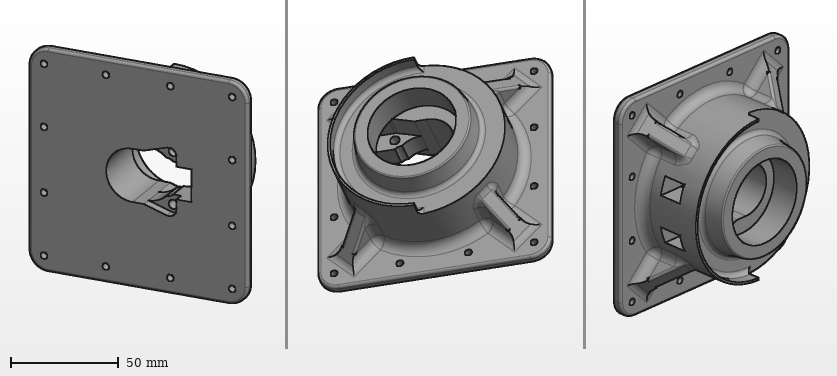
import cadquery as cq
import math

plate_side = 112
plate_thickness = 5.0
plate_corner_radius = 10.0
plate_edge_round = 1.5
plate_hole_diameter = 3.4
plate_hole_outer = 48.0
plate_hole_inner = 16.5

body_radius = 41.5
body_top = 32.0
skirt_top = 40.0
skirt_thickness = 1.2
floor_fillet = 2.5
blend_fillet = 5.0

collar_top = 43.8
collar_base_radius = 29.9
collar_top_radius = 28
collar_edge_round = 0.8
bore_radius = 21.3

rib_width = 8.4
rib_height_on_body = 25.2
rib_edge_round = 1.2
rib_split_height = 14.6

passage_radius = 13.3
passage_offset = 2.9
slot_half_width = 8.2
slot_end = 27.2
ear_depth = plate_thickness
ear_radius = 3.9
screw_z = 13.2
screw_hole_diameter = 4.6
chamber_start = 16.5
chamber_end = 28.9

TOLERANCE = 0.01

rib_slope_sum = body_radius + rib_height_on_body

boss_radius = screw_z - slot_half_width
centre_distance = passage_radius + boss_radius
screw_x = passage_offset + math.sqrt(centre_distance**2 - screw_z**2)


def at_height(y):
    """Workplane at height y, with local axes X and Z."""
    return cq.Workplane("XZ", origin=(0, y, 0))


def prism(sketch, depth):
    """Extrude a sketch towards +Y."""
    return sketch.extrude(-depth)


def disc(y_start, y_end, radius):
    return prism(at_height(y_start).circle(radius), y_end - y_start)


def make_plate():
    plate = prism(at_height(0).rect(plate_side, plate_side), plate_thickness)
    plate = plate.edges("|Y").fillet(plate_corner_radius)
    return plate.faces("<Y or >Y").edges().fillet(plate_edge_round)


def make_rib():
    """Sharp triangular rib along +X; on its slope, height plus distance from the axis is constant."""
    inner = body_radius / 2
    foot = plate_thickness / 2
    buried_top = (rib_height_on_body + body_top) / 2
    return (
        cq.Workplane("XY", origin=(0, 0, -rib_width / 2))
        .moveTo(inner, foot)
        .lineTo(rib_slope_sum - foot, foot)
        .lineTo(rib_slope_sum - buried_top, buried_top)
        .lineTo(inner, buried_top)
        .close()
        .extrude(rib_width)
    )


def make_rounded_rib():
    slope_edges = cq.selectors.ParallelDirSelector(cq.Vector(1, -1, 0))
    return make_rib().edges(slope_edges).fillet(rib_edge_round)


def on_all_diagonals(shape):
    """Four copies of a shape, turned about the Y axis to the plate corners."""
    return [shape.rotate((0, 0, 0), (0, 1, 0), 45 + 90 * corner) for corner in range(4)]


def with_ribs(part, rib):
    for turned_rib in on_all_diagonals(rib):
        part = part.union(turned_rib)
    return part


def is_on_body(edge):
    """True for edges below the floor that follow the body's round side."""
    ends = (edge.startPoint(), edge.endPoint())
    touches_side = all(abs(math.hypot(end.x, end.z) - body_radius) < TOLERANCE for end in ends)
    box = edge.BoundingBox()
    return touches_side and box.ymin > plate_thickness - TOLERANCE and box.ymax < body_top - TOLERANCE


def is_on_plate(edge):
    """True for edges on the back of the plate, inside its rim."""
    box = edge.BoundingBox()
    level = max(abs(box.ymin - plate_thickness), abs(box.ymax - plate_thickness)) < TOLERANCE
    middle = edge.Center()
    return level and max(abs(middle.x), abs(middle.z)) < plate_side / 2 - plate_corner_radius


def is_on_body_above_split(edge):
    return is_on_body(edge) and edge.BoundingBox().ymin > rib_split_height + TOLERANCE


def is_base_blend(edge):
    return is_on_body(edge) or is_on_plate(edge)


def make_rib_edge_trim(side):
    """Sliver that rounds a long rib edge between foot blend and split; side is +1 or -1."""
    top = rib_split_height + rib_edge_round
    bottom = plate_thickness + blend_fillet
    slope_plane = cq.Plane(
        origin=(rib_slope_sum - top, top, side * rib_width / 2),
        xDir=(0, 0, 1),
        normal=(1, -1, 0),
    )
    arc_near = rib_edge_round * (1 - math.sqrt(0.5))
    return (
        cq.Workplane(slope_plane)
        .lineTo(-side * rib_edge_round, 0)
        .threePointArc((-side * arc_near, arc_near), (0, rib_edge_round))
        .close()
        .extrude((top - bottom) * math.sqrt(2))
    )


def make_lower_base():
    """Plate, lower body and rib feet, cut level at the split height."""
    lower = with_ribs(make_plate().union(disc(0, body_top, body_radius)), make_rib())
    lower = lower.edges().filter(is_base_blend).fillet(blend_fillet)
    for side in (-1, 1):
        for trim in on_all_diagonals(make_rib_edge_trim(side)):
            lower = lower.cut(trim)
    return lower.cut(disc(rib_split_height, body_top, plate_side))


def make_turned_body():
    """Body with its collar and a full-ring skirt, turned about the Y axis."""
    skirt_inner_radius = body_radius - skirt_thickness
    body = (
        cq.Workplane("XY")
        .moveTo(0, 0)
        .lineTo(body_radius, 0)
        .lineTo(body_radius, skirt_top)
        .lineTo(skirt_inner_radius, skirt_top)
        .lineTo(skirt_inner_radius, body_top)
        .lineTo(collar_base_radius, body_top)
        .lineTo(collar_top_radius, collar_top)
        .lineTo(0, collar_top)
        .close()
        .revolve(360, (0, 0, 0), (0, 1, 0))
    )
    floor_corners = body.edges(cq.selectors.BoxSelector(
        (-body_radius, body_top - TOLERANCE, -body_radius),
        (body_radius, body_top + TOLERANCE, body_radius),
    ))
    body = floor_corners.fillet(floor_fillet)
    return body.faces(">Y").edges().fillet(collar_edge_round)


def make_skirt_cutaway():
    """Removes the skirt on the -X side, leaving a rounded corner between its ends and the floor."""
    reach = 2 * body_radius
    block = (
        cq.Workplane("XY", origin=(-reach / 2, body_top, 0))
        .box(reach, collar_top - body_top, 2 * reach, centered=(True, False, True))
        .edges(">X and <Y")
        .fillet(floor_fillet)
    )
    channel_middle = (collar_base_radius + body_radius - skirt_thickness) / 2
    return block.cut(disc(body_top, collar_top, channel_middle))


def make_upper_base():
    """Upper body, collar, skirt and rounded rib tops, starting at the split height."""
    upper = with_ribs(make_turned_body(), make_rounded_rib())
    upper = upper.edges().filter(is_on_body_above_split).fillet(blend_fillet)
    return upper.cut(make_skirt_cutaway()).cut(disc(0, rib_split_height, plate_side))


def make_base():
    return make_lower_base().union(make_upper_base())


def round_ended_slot(y_start, y_end):
    """Passage with round ends along X."""
    length = 2 * (passage_offset + passage_radius)
    return prism(at_height(y_start).slot2D(length, 2 * passage_radius), y_end - y_start)


def tangent_point_on_ear():
    """Point where a line from the top of the passage's round end touches the ear arc."""
    run = screw_x - passage_offset
    rise = screw_z - passage_radius
    distance = math.hypot(run, rise)
    turn = math.atan2(rise, run) + math.asin(ear_radius / distance)
    return screw_x - ear_radius * math.sin(turn), screw_z + ear_radius * math.cos(turn)


def ear_arc_middle(start, end):
    """Point halfway along the ear arc between two points on it."""
    x = start[0] + end[0] - 2 * screw_x
    z = start[1] + end[1] - 2 * screw_z
    scale = ear_radius / math.hypot(x, z)
    return screw_x + scale * x, screw_z + scale * z


def mirrored(shape):
    """A shape together with its mirror image below the XY plane."""
    return shape.union(shape.mirror("XY"))


def make_ear_recess():
    """Shallow recess around both screws, open to the passage."""
    touch = tangent_point_on_ear()
    side = (screw_x + ear_radius, screw_z)
    half = (
        at_height(0)
        .moveTo(passage_offset, 0)
        .lineTo(passage_offset, passage_radius)
        .lineTo(*touch)
        .threePointArc(ear_arc_middle(touch, side), side)
        .lineTo(side[0], 0)
        .close()
    )
    return mirrored(prism(half, ear_depth))


def make_chamber():
    """Wide cavity behind the ears, open on the +X side of the body, around a tongue in the middle."""
    touch = tangent_point_on_ear()
    top = (screw_x, screw_z + ear_radius)
    outside = body_radius + blend_fillet
    half = (
        at_height(chamber_start)
        .moveTo(passage_offset, 0)
        .lineTo(passage_offset, passage_radius)
        .lineTo(*touch)
        .threePointArc(ear_arc_middle(touch, top), top)
        .lineTo(outside, top[1])
        .lineTo(outside, slot_half_width)
        .lineTo(slot_end, slot_half_width)
        .lineTo(slot_end, 0)
        .close()
    )
    return mirrored(prism(half, chamber_end - chamber_start))


def make_throat():
    """Neck between the passage and the slot, narrowed by the arcs of the two screw bosses."""
    reach = passage_radius / centre_distance
    joint = (
        passage_offset + reach * (screw_x - passage_offset),
        reach * screw_z,
    )
    half = (
        at_height(0)
        .moveTo(passage_offset, 0)
        .lineTo(*joint)
        .radiusArc((screw_x, slot_half_width), boss_radius)
        .lineTo(slot_end, slot_half_width)
        .lineTo(slot_end, 0)
        .close()
    )
    return mirrored(prism(half, chamber_end))


def cut_cable_way(part):
    passage = round_ended_slot(0, chamber_end).union(make_throat())
    return part.cut(passage).cut(make_ear_recess()).cut(make_chamber())


def cut_holes(part):
    part = part.cut(disc(chamber_end, collar_top, bore_radius))
    screws = [(screw_x, screw_z), (screw_x, -screw_z)]
    part = part.cut(prism(at_height(0).pushPoints(screws).circle(screw_hole_diameter / 2), chamber_start))
    rows = (-plate_hole_outer, -plate_hole_inner, plate_hole_inner, plate_hole_outer)
    rim_points = [(x, z) for x in rows for z in rows if plate_hole_outer in (abs(x), abs(z))]
    return part.cut(prism(at_height(0).pushPoints(rim_points).circle(plate_hole_diameter / 2), plate_thickness))


result = cut_holes(cut_cable_way(make_base()))